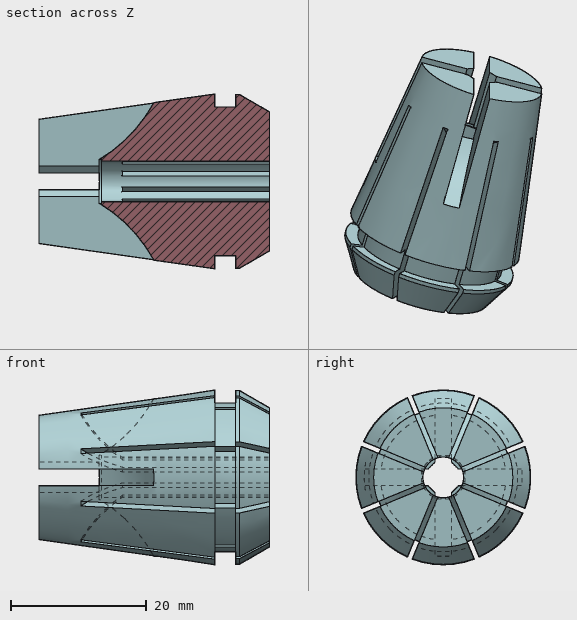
import cadquery as cq
import math

length = 34.0
shoulder_diameter = 25.8
rear_taper_angle = 8
groove_start = 25.95
groove_end = 29.0
groove_radius = 10.98
flange_radius = 12.82
flange_width = 0.58
front_bevel_angle = 30

shoulder_radius = shoulder_diameter / 2
rear_radius = shoulder_radius - groove_start * math.tan(math.radians(rear_taper_angle))
bevel_start = groove_end + flange_width
front_radius = flange_radius - (length - bevel_start) * math.tan(math.radians(front_bevel_angle))

bore_radius = 3.0
relief_radius = 3.23
relief_length = 0.35
square_side = 4.9
socket_depth = 8.87

cutter_radius = 22.0

drive_slot_count = 4
drive_slot_width = 2.4
drive_first_angle = 0
drive_cutter_x = -2.4
drive_cutter_offset = 22.1

clamp_slot_count = 8
clamp_slot_width = 0.75
clamp_first_angle = 180 / clamp_slot_count
clamp_cutter_x = 25.5
clamp_cutter_offset = 20.6


def revolve_about_x(profile):
    """Solid of revolution from a closed list of (X, radius) points."""
    return cq.Workplane("XY").polyline(profile).close().revolve(360, (0, 0, 0), (1, 0, 0))


def turn_about_x(solid, angle):
    """Copy of a solid turned about the X axis."""
    return solid.rotate((0, 0, 0), (1, 0, 0), angle)


def turned_body():
    """Tapered body, locking groove and bevelled front flange."""
    profile = [
        (0, 0),
        (0, rear_radius),
        (groove_start, shoulder_radius),
        (groove_start, groove_radius),
        (groove_end, groove_radius),
        (groove_end, flange_radius),
        (bevel_start, flange_radius),
        (length, front_radius),
        (length, 0),
    ]
    return revolve_about_x(profile)


def shank_bore():
    """Round bore with a short stepped relief at the bottom of the socket."""
    relief_end = socket_depth + relief_length
    profile = [
        (socket_depth, 0),
        (socket_depth, relief_radius),
        (relief_end, relief_radius),
        (relief_end, bore_radius),
        (length, bore_radius),
        (length, 0),
    ]
    return revolve_about_x(profile)


def square_socket():
    """Square socket from the rear face, with its corners on the Y and Z axes."""
    socket = cq.Workplane("YZ").rect(square_side, square_side).extrude(socket_depth)
    return turn_about_x(socket, 45)


def saw_slots(count, first_angle, width, cutter_x, cutter_offset):
    """Evenly spaced cutter discs around the X axis, joined into one tool."""
    center = (cutter_x, cutter_offset)
    disc = cq.Workplane("XY").center(*center).circle(cutter_radius).extrude(width / 2, both=True)
    slots = cq.Workplane("XY")
    for index in range(count):
        angle = first_angle + index * 360 / count
        slots = slots.add(turn_about_x(disc, angle))
    return slots.combine()


def drive_slot_center():
    """Crossed flat-bottomed slots that square off the drive slots out to the relief radius."""
    flat_width = 2 * relief_radius
    cross = cq.Workplane("YZ").rect(flat_width, drive_slot_width).extrude(socket_depth)
    return cross.union(turn_about_x(cross, 90))


drive_slots = saw_slots(
    drive_slot_count, drive_first_angle, drive_slot_width, drive_cutter_x, drive_cutter_offset
)
clamp_slots = saw_slots(
    clamp_slot_count, clamp_first_angle, clamp_slot_width, clamp_cutter_x, clamp_cutter_offset
)

result = (
    turned_body()
    .cut(shank_bore())
    .cut(square_socket())
    .cut(drive_slots)
    .cut(drive_slot_center())
    .cut(clamp_slots)
)